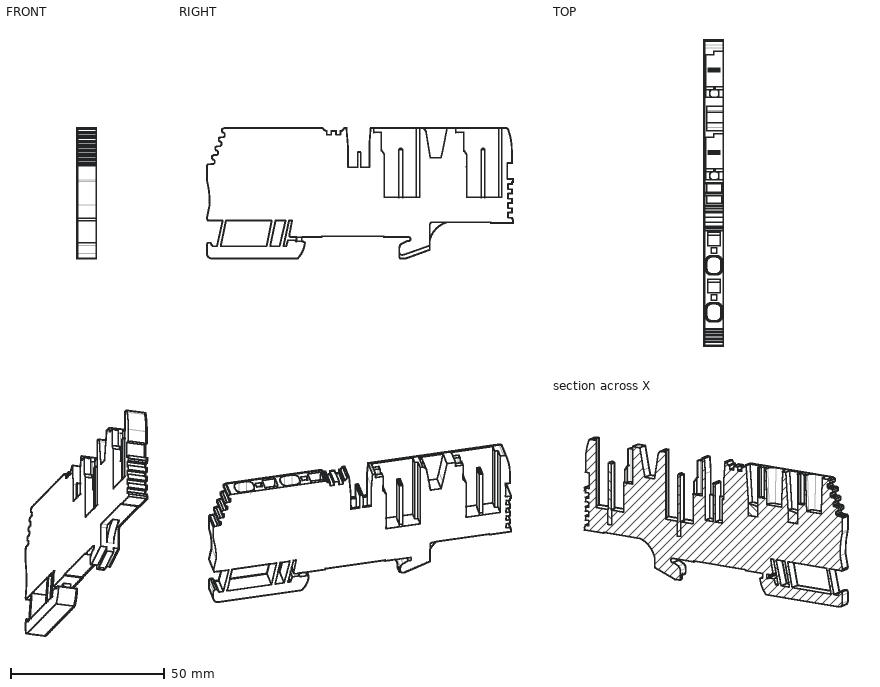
import cadquery as cq


width = 6.5
length = 100.1
height = 42.7
cover_thick = 0.4
rib_x = (2.0, 4.3)
wall_x = 0.75
mid_x = 3.4

plug_bottom_z = 11.6
body_bottom_z = 11.85
rail_z = 7.0
rail_relief = 0.3
hook_plug_y = 72.85
hook_wire_y = 62.85
stop_z = 5.6
wire_bottom_z = 12.4
foot_round = 1.7
foot_floor_z = 4.05

end_y = 99.7
end_recess_y = 98.2
end_recess_z = (26.0, 31.2)
end_groove_y = 98.4
end_groove_z = 13.4
end_groove_high = 1.6
end_groove_pitch = 3.1
end_groove_count = 4

shaft_z = 29.9
shaft_plug_y = 53.1
shaft_wire_y = 46.2
fin_y = (49.25, 50.3)
fin_z = 34.85
fin_bevel = 0.2
bridge_hole_x = (1.05, 5.9)
bridge_hole_deep = 8.0
bridge_hole_margin = 0.5

marker_land_z = 41.75
marker_groove_z = 40.5
marker_groove_count = 2
marker_groove_wide = 1.4
marker_groove_pitch = 3.0
marker_groove_y = 39.25

tooth_count = 4
tooth_base_z = 30.85
tooth_pitch_y = 1.1
tooth_pitch_z = 2.93
tooth_groove_high = 1.45
tooth_groove_y = 5.85
tooth_groove_z = 41.15
tooth_tip_y = 4.95
tooth_nose = 0.35
tooth_root = 4.0

zone_pitch = 26.9
zone_count = 2
zone_wire_y = 58.0
zone_plug_y = 69.5
zone_step = 1.1
zone_step_x = 3.4
zone_floor_z = 20.0
latch_wire_y = 54.5
latch_long = 3.5
shoulder_long = 2.5
shoulder_z = 41.2
lead_in_z = (34.0, 35.5)
socket_x = 3.55
socket_wide = 2.9
socket_round = 0.7
socket_z = 30.0
socket_slit = 0.6

recess_x = 1.0
recess_z = 33.0

contact_y = 63.35
contact_wide = 3.7
contact_thick = 1.2
contact_tip_z = 36.0
contact_root_z = 15.0
contact_tip_chamfer = 0.45

clamp_pitch = 15.35
clamp_count = 2
driver_pit_y = (17.6, 21.95)
driver_pit_wide = 4.1
driver_pit_z = 30.0
driver_slope = 0.9
test_hole_y = 16.0
test_hole_long = 1.9
test_hole_wide = 1.9
test_hole_deep = 10.0
funnel_y = 11.15
funnel_long = 6.3
funnel_wide = 5.4
funnel_round = 1.9
funnel_deep = 12.0
funnel_taper = 2.0
spring_bottom_z = 26.0
spring_drop = 0.6


def box(x, y, z):
    """Box spanning the given (low, high) pairs."""
    size = [high - low for low, high in (x, y, z)]
    return cq.Workplane("XY").box(*size, centered=False).translate((x[0], y[0], z[0]))


def prism(points, x):
    """Straight-sided (Y, Z) outline extruded between the two X values."""
    return cq.Workplane("YZ", origin=(x[0], 0, 0)).polyline(points).close().extrude(x[1] - x[0])


def body_blank(x):
    """Main profile with the rail hook, before notches are cut."""
    return (
        cq.Workplane("YZ", origin=(x[0], 0, 0))
        .moveTo(tooth_groove_y, height)
        .lineTo(97.5, height)
        .threePointArc((98.2, 42.5), (98.6, 41.8))
        .threePointArc((99.43, 38.6), (end_y, 35.4))
        .lineTo(end_y, 13.3)
        .lineTo(length, 12.45)
        .lineTo(length, plug_bottom_z)
        .lineTo(92.7, plug_bottom_z)
        .lineTo(92.7, body_bottom_z)
        .lineTo(73.7, body_bottom_z)
        .threePointArc((73.1, 11.6), (hook_plug_y, 11.0))
        .lineTo(hook_plug_y, 4.25)
        .lineTo(64.3, 1.25)
        .threePointArc((63.3, 1.35), (hook_wire_y, 2.2))
        .lineTo(hook_wire_y, 3.5)
        .threePointArc((63.1, 4.3), (63.7, 4.9))
        .lineTo(65.5, 5.8)
        .threePointArc((66.5, 6.2), (65.8, rail_z))
        .lineTo(57.8, rail_z)
        .lineTo(57.8, rail_z + rail_relief)
        .lineTo(37.6, rail_z + rail_relief)
        .lineTo(37.6, rail_z)
        .lineTo(27.3, rail_z)
        .lineTo(26.9, 7.5)
        .lineTo(27.8, wire_bottom_z)
        .lineTo(0.3, wire_bottom_z)
        .lineTo(0, 13.1)
        .lineTo(0.9, 17.6)
        .threePointArc((0.75, 21.5), (0.1, 25.2))
        .lineTo(0, 25.8)
        .lineTo(0, 30.4)
        .lineTo(tooth_nose, tooth_base_z)
        .lineTo(tooth_groove_y - tooth_count * tooth_pitch_y, tooth_base_z)
        .close()
        .extrude(x[1] - x[0])
    )


def end_grip(x):
    """Cutter for the finger recess and grip grooves of the plug end."""
    outside = length + 1
    cutter = box(x, (end_recess_y, outside), end_recess_z)
    for i in range(end_groove_count):
        low = end_groove_z + i * end_groove_pitch
        cutter = cutter.union(box(x, (end_groove_y, outside), (low, low + end_groove_high)))
    return cutter


def end_lip(x):
    """Lip that stands proud just under the finger recess."""
    return box(x, (end_y, length), (25.0, end_recess_z[0]))


def shaft(x):
    """Cutter for the bridge shaft, its walls leaning outwards near the top."""
    return prism([(shaft_wire_y, shaft_z), (shaft_plug_y, shaft_z), (shaft_plug_y, 37.8),
                  (53.5, height), (45.65, height), (shaft_wire_y, 36.0)], x)


def marker_notches(x):
    """Cutter for the snap-in seat beside the shaft."""
    seat = prism([(37.8, height), (38.4, 42.0), (39.0, marker_land_z),
                  (44.2, marker_land_z), (44.95, height)], x)
    for i in range(marker_groove_count):
        low = marker_groove_y + i * marker_groove_pitch
        seat = seat.union(box(x, (low, low + marker_groove_wide), (marker_groove_z, height)))
    return seat


def tooth_grooves(x):
    """Cutter that turns the sloping wire end into stepped teeth."""
    cutter = None
    for i in range(tooth_count):
        floor_y = tooth_groove_y - i * tooth_pitch_y
        top_z = tooth_groove_z - i * tooth_pitch_z
        low_z = top_z - tooth_groove_high
        groove = prism([(floor_y, top_z - tooth_nose), (floor_y - tooth_nose, top_z), (-1, top_z),
                        (-1, low_z), (floor_y - tooth_nose, low_z), (floor_y, low_z + tooth_nose)], x)
        cutter = groove if cutter is None else cutter.union(groove)
    return cutter


def stepped_teeth(x):
    """Bevelled teeth that follow the slope of the wire end."""
    teeth = None
    for i in range(tooth_count):
        tip_y = tooth_tip_y - i * tooth_pitch_y
        low_z = tooth_groove_z - i * tooth_pitch_z
        top_z = min(height, low_z + tooth_pitch_z - tooth_groove_high)
        tooth = prism([(tip_y + tooth_root, low_z), (tip_y + tooth_nose, low_z), (tip_y, low_z + tooth_nose),
                       (tip_y, top_z - tooth_nose), (tip_y + 2 * tooth_nose, top_z),
                       (tip_y + tooth_root, top_z)], x)
        teeth = tooth if teeth is None else teeth.union(tooth)
    return teeth


def sprung_foot(x):
    """Lower foot bar with its three leaning legs."""
    bar = (
        cq.Workplane("YZ", origin=(x[0], 0, 0))
        .moveTo(29.7, 0)
        .lineTo(foot_round, 0)
        .radiusArc((0, foot_round), foot_round)
        .lineTo(0, 4.4)
        .threePointArc((0.135, 4.89), (0.5, 5.25))
        .lineTo(1.2, 5.25)
        .lineTo(1.9, foot_floor_z)
        .lineTo(25.9, foot_floor_z)
        .lineTo(26.5, 6.0)
        .lineTo(28.9, 6.0)
        .lineTo(29.1, stop_z)
        .lineTo(31.5, stop_z)
        .lineTo(32.1, 5.2)
        .threePointArc((31.3, 2.3), (29.7, 0))
        .close()
        .extrude(x[1] - x[0])
    )
    legs = [((26.9, 25.7), (25.1, 23.75)),
            ((22.5, 21.2), (20.75, 19.5)),
            ((6.3, 5.15), (4.6, 3.3))]
    for top, low in legs:
        leg = prism([(top[0], wire_bottom_z), (top[1], wire_bottom_z),
                     (low[1], foot_floor_z), (low[0], foot_floor_z)], x)
        bar = bar.union(leg)
    return bar


def side_plate(x):
    """Complete profile shared by the housing and the cover."""
    plate = body_blank(x)
    plate = plate.union(stepped_teeth(x))
    for cutter in (tooth_grooves(x), end_grip(x), shaft(x), marker_notches(x)):
        plate = plate.cut(cutter)
    plate = plate.union(end_lip(x))
    plate = plate.union(box(x, fin_y, (shaft_z, fin_z)).edges("|X and >Z").chamfer(fin_bevel))
    return plate.union(sprung_foot(x))


def central_rib(x):
    """Central rib of the housing: gusset behind the hook, sole of the hook and foot stop."""
    gusset = (
        cq.Workplane("YZ", origin=(x[0], 0, 0))
        .moveTo(hook_plug_y, body_bottom_z)
        .lineTo(78.5, body_bottom_z)
        .threePointArc((74.7, 9.5), (hook_plug_y, 5.9))
        .close()
        .extrude(x[1] - x[0])
    )
    sole = prism([(hook_plug_y, 4.25), (hook_plug_y, 2.85), (65.0, 0), (63.2, 0), (hook_wire_y, 0.5),
                  (hook_wire_y, 2.2), (64.3, 2.0)], x)
    stop = box(x, (29.3, 31.1), (stop_z, rail_z))
    return gusset, sole, stop


def plug_zone(shift):
    """Cutter for one plug zone, open to the +X side, with a key step in its plug-side wall."""
    plug_y = zone_plug_y + shift
    zone = box((wall_x, width), (zone_wire_y + shift, plug_y), (zone_floor_z, height))
    return zone.cut(box((0, zone_step_x), (plug_y - zone_step, plug_y), (0, height)))


def latch(shift):
    """Cutter beside a plug zone that leaves two shoulders around a slit socket."""
    x = (wall_x, width)
    low_y = latch_wire_y + shift
    front_y = low_y + shoulder_long
    high_y = low_y + latch_long
    cutter = box(x, (low_y, front_y), (shoulder_z, height))
    slope = prism([(front_y, height), (high_y, height), (high_y, lead_in_z[0]), (front_y, lead_in_z[1])], x)
    half = socket_wide / 2
    socket = (
        box((socket_x - half, socket_x + half), (low_y, front_y), (socket_z, height))
        .edges("|Z").fillet(socket_round)
    )
    slit = box((socket_x - socket_slit / 2, socket_x + socket_slit / 2),
               (front_y - socket_round, high_y), (socket_z, height))
    return cutter.union(slope).union(socket).union(slit)


def tool_recess():
    """Cutter for the open recess between the two plug zones."""
    return (
        cq.Workplane("YZ", origin=(recess_x, 0, 0))
        .moveTo(78.5, height)
        .lineTo(77.1, 35.5)
        .lineTo(76.5, recess_z)
        .lineTo(73.0, recess_z)
        .lineTo(71.6, 41.5)
        .threePointArc((71.1, 42.25), (70.4, height))
        .close()
        .extrude(width - recess_x)
    )


def bridge_holes():
    """Cutters on both sides of the fin in the shaft floor."""
    z = (shaft_z - bridge_hole_deep, shaft_z)
    near = box(bridge_hole_x, (shaft_wire_y + bridge_hole_margin, fin_y[0]), z)
    return near.union(box(bridge_hole_x, (fin_y[1], shaft_plug_y), z))


def driver_pit(shift):
    """Cutter for one screwdriver pit, leaning on its plug side."""
    low = driver_pit_y[0] + shift
    high = driver_pit_y[1] + shift
    x = (mid_x - driver_pit_wide / 2, mid_x + driver_pit_wide / 2)
    return prism([(low, height), (high, height), (high - driver_slope, driver_pit_z), (low, driver_pit_z)], x)


def spring(shift):
    """Clamping spring whose rounded top closes the bottom of a driver pit."""
    low = driver_pit_y[0] + shift
    high = driver_pit_y[1] + shift - driver_slope
    middle = (low + high) / 2
    return (
        cq.Workplane("YZ", origin=(mid_x - driver_pit_wide / 2, 0, 0))
        .moveTo(low, spring_bottom_z)
        .lineTo(high, spring_bottom_z)
        .lineTo(high, driver_pit_z)
        .threePointArc((middle, driver_pit_z - spring_drop / 4), (low, driver_pit_z - spring_drop))
        .close()
        .extrude(driver_pit_wide)
    )


def spring_seat(shift):
    """Cutter for the spring pocket below a driver pit."""
    y = (driver_pit_y[0] + shift, driver_pit_y[1] + shift - driver_slope)
    x = (mid_x - driver_pit_wide / 2, mid_x + driver_pit_wide / 2)
    return box(x, y, (spring_bottom_z, driver_pit_z))


def test_hole(shift):
    """Cutter for the small square hole beside a driver pit."""
    return (
        cq.Workplane("XY", origin=(mid_x, test_hole_y + shift, height))
        .rect(test_hole_wide, test_hole_long)
        .extrude(-test_hole_deep)
    )


def wire_funnel(shift):
    """Cutter for one rounded, tapering wire entry."""
    outline = cq.Sketch().rect(funnel_wide, funnel_long).vertices().fillet(funnel_round)
    return (
        cq.Workplane("XY", origin=(mid_x, funnel_y + shift, height))
        .placeSketch(outline)
        .extrude(-funnel_deep, taper=funnel_taper)
    )


def contact_blank(shift, tip_z):
    """Upright bar of a knife contact."""
    half = contact_wide / 2
    return box((mid_x - half, mid_x + half),
               (contact_y + shift - contact_thick / 2, contact_y + shift + contact_thick / 2),
               (contact_root_z, tip_z))


def contact(shift):
    """Knife contact with a chamfered tip."""
    return contact_blank(shift, contact_tip_z).faces(">Z").chamfer(contact_tip_chamfer)


zone_shifts = [i * zone_pitch for i in range(zone_count)]
clamp_shifts = [i * clamp_pitch for i in range(clamp_count)]

cover = side_plate((0, cover_thick))

housing_x = (cover_thick, width)
housing = side_plate(housing_x)
for extra in central_rib(rib_x):
    housing = housing.union(extra)
for shift in zone_shifts:
    housing = housing.cut(plug_zone(shift)).cut(latch(shift)).cut(contact_blank(shift, zone_floor_z))
housing = housing.cut(tool_recess()).cut(bridge_holes())
for shift in clamp_shifts:
    housing = housing.cut(driver_pit(shift)).cut(spring_seat(shift))
    housing = housing.cut(test_hole(shift)).cut(wire_funnel(shift))

contacts = [contact(shift) for shift in zone_shifts]
springs = [spring(shift) for shift in clamp_shifts]

parts = [body.solids().val() for body in (housing, cover, *contacts, *springs)]
result = cq.Compound.makeCompound(parts)